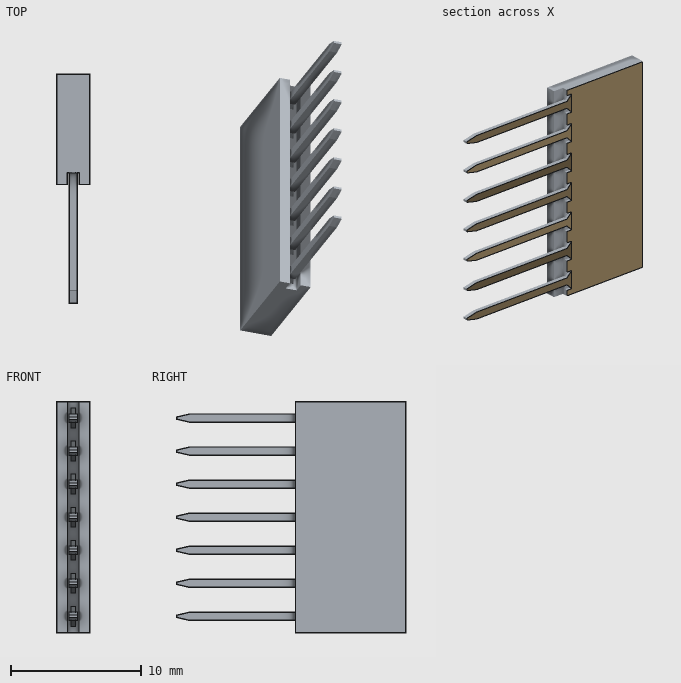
import cadquery as cq

PIN_COUNT = 7
ROW_LENGTH = 17.78
PITCH = ROW_LENGTH / PIN_COUNT
TOTAL_DEPTH = 17.64

HOUSING_WIDTH = 2.55
HOUSING_DEPTH = 8.5
SLOT_WIDTH = 0.89
SLOT_DEPTH = 0.89

SHAFT_SIZE = 0.64
TIP_LENGTH = 1.0
TIP_HEIGHT = 0.18
TIP_Y = HOUSING_DEPTH - TOTAL_DEPTH

ROOT_WIDTH = 0.37
ROOT_LENGTH = 0.45
ROOT_HEIGHT = SHAFT_SIZE + 2 * ROOT_LENGTH


def make_housing(pin_heights):
    """Block with a full-length slot and one blind pocket per pin in the slot floor."""
    block = cq.Workplane("XY").box(
        HOUSING_WIDTH, HOUSING_DEPTH, ROW_LENGTH, centered=(True, False, True)
    )
    slot = cq.Workplane("XY").box(
        SLOT_WIDTH, SLOT_DEPTH, ROW_LENGTH, centered=(True, False, True)
    )
    housing = block.cut(slot)
    pocket = (
        cq.Workplane("XY")
        .box(ROOT_WIDTH, ROOT_LENGTH, ROOT_HEIGHT, centered=(True, False, True))
        .translate((0, SLOT_DEPTH, 0))
    )
    for height in pin_heights:
        housing = housing.cut(pocket.translate((0, 0, height)))
    return housing


def make_pin(height):
    """Pin with a tapered tip, a straight shaft and a flared root seated in its pocket."""
    shaft = (
        cq.Workplane("YZ")
        .moveTo(TIP_Y, TIP_HEIGHT / 2)
        .lineTo(TIP_Y + TIP_LENGTH, SHAFT_SIZE / 2)
        .lineTo(SLOT_DEPTH, SHAFT_SIZE / 2)
        .lineTo(SLOT_DEPTH, -SHAFT_SIZE / 2)
        .lineTo(TIP_Y + TIP_LENGTH, -SHAFT_SIZE / 2)
        .lineTo(TIP_Y, -TIP_HEIGHT / 2)
        .close()
        .extrude(SHAFT_SIZE / 2, both=True)
    )
    root_end = SLOT_DEPTH + ROOT_LENGTH
    root = (
        cq.Workplane("YZ")
        .moveTo(SLOT_DEPTH, SHAFT_SIZE / 2)
        .lineTo(root_end, ROOT_HEIGHT / 2)
        .lineTo(root_end, -ROOT_HEIGHT / 2)
        .lineTo(SLOT_DEPTH, -SHAFT_SIZE / 2)
        .close()
        .extrude(ROOT_WIDTH / 2, both=True)
    )
    return shaft.union(root).translate((0, 0, height))


pin_heights = [(index - (PIN_COUNT - 1) / 2) * PITCH for index in range(PIN_COUNT)]
housing = make_housing(pin_heights)
pins = [make_pin(height) for height in pin_heights]

result = cq.Compound.makeCompound([housing.val(), *[pin.val() for pin in pins]])